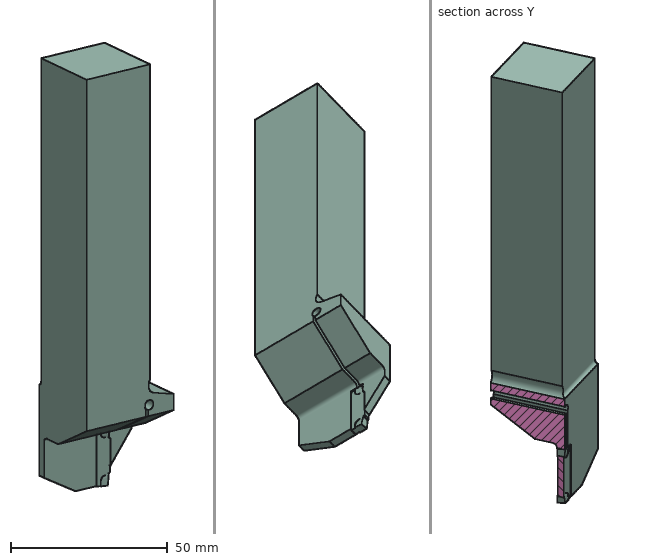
import cadquery as cq
import math


TOTAL_LENGTH = 150.0
SHANK_SIZE = TOTAL_LENGTH / 6
TOTAL_WIDTH = 26.1
BLADE_OFFSET = TOTAL_WIDTH - SHANK_SIZE
BLADE_THICKNESS = 2.8
BLADE_BOTTOM = 0.8
STEP_TANGENT_Z = 40.2
STEP_RADIUS = 1.5
SHOULDER_Z = 21.6
SHOULDER_X = 10.5
SHOULDER_RADIUS = 1.4
SLOPE_ANGLE = 30.0

HEAD_DEPTH = 34.4
NOSE_TOP_Z = 36.0
NOSE_TOP_ANGLE = 15.0
NOSE_BOTTOM_Z = 17.5
JAW_TIP_Z = 6.6
BLADE_CORNER_Y = 12.3
NECK_RADIUS = 3.0
NECK_TANGENT_Y = 26.5

SLOT_WIDTH = 0.9
SLOT_Y = 23.7
SLOT_HOLE_Y = 24.6
SLOT_HOLE_Z = 34.4
SLOT_HOLE_RADIUS = 1.6

INSERT_LENGTH = 20.1
INSERT_BACK_Y = 20.7
INSERT_FRONT_Y = 26.1
INSERT_LAND_Y = 25.6
INSERT_TIP_Y = 25.0
INSERT_END_RELIEF = 0.5
INSERT_LEAD = 0.5
LAND_Z = 3.9
FRONT_Z = 4.4
BODY_INSET = 0.3
END_SIDE_RELIEF = 0.2
END_RELIEF_Z = 2.7
END_HEIGHT = 3.6
END_BACK_Y = 22.4
END_CORNER_RADIUS = 1.8


def prism_along_x(outline):
    """Extrude a YZ outline across the full width of the tool."""
    return outline.extrude(TOTAL_WIDTH)


def make_side_profile():
    """Shank, step, shoulder and blade as an XZ outline, extruded over the head depth."""
    step_drop = math.sqrt(STEP_RADIUS**2 - (STEP_RADIUS - BLADE_OFFSET) ** 2)
    half_step = math.asin(step_drop / STEP_RADIUS) / 2
    step_center_x = BLADE_OFFSET - STEP_RADIUS
    slope_rise = (TOTAL_WIDTH - SHOULDER_X) * math.tan(math.radians(SLOPE_ANGLE))
    fillet_center_x = BLADE_THICKNESS + SHOULDER_RADIUS
    fillet_center_z = SHOULDER_Z - SHOULDER_RADIUS
    diagonal = SHOULDER_RADIUS * math.sqrt(0.5)
    outline = (
        cq.Workplane("XZ")
        .moveTo(0, BLADE_BOTTOM)
        .lineTo(BLADE_THICKNESS, BLADE_BOTTOM)
        .lineTo(BLADE_THICKNESS, fillet_center_z)
        .threePointArc(
            (fillet_center_x - diagonal, fillet_center_z + diagonal),
            (fillet_center_x, SHOULDER_Z),
        )
        .lineTo(SHOULDER_X, SHOULDER_Z)
        .lineTo(TOTAL_WIDTH, SHOULDER_Z + slope_rise)
        .lineTo(TOTAL_WIDTH, TOTAL_LENGTH)
        .lineTo(BLADE_OFFSET, TOTAL_LENGTH)
        .lineTo(BLADE_OFFSET, STEP_TANGENT_Z)
        .threePointArc(
            (
                step_center_x + STEP_RADIUS * math.cos(half_step),
                STEP_TANGENT_Z - STEP_RADIUS * math.sin(half_step),
            ),
            (0, STEP_TANGENT_Z - step_drop),
        )
        .close()
    )
    return outline.extrude(-HEAD_DEPTH)


def make_head_profile():
    """Shank, nose and blade corner as a YZ outline, with the rounded relief under the shank."""
    nose_angle = math.radians(NOSE_TOP_ANGLE)
    neck_tangent_z = NOSE_TOP_Z + (HEAD_DEPTH - NECK_TANGENT_Y) * math.tan(nose_angle)
    neck_center_y = NECK_TANGENT_Y + NECK_RADIUS * math.sin(nose_angle)
    neck_center_z = neck_tangent_z + NECK_RADIUS * math.cos(nose_angle)
    neck_exit_z = neck_center_z + math.sqrt(NECK_RADIUS**2 - (neck_center_y - SHANK_SIZE) ** 2)
    corner_rise = BLADE_CORNER_Y * math.tan(math.radians(SLOPE_ANGLE))
    outline = (
        cq.Workplane("YZ")
        .moveTo(0, BLADE_BOTTOM + corner_rise)
        .lineTo(BLADE_CORNER_Y, BLADE_BOTTOM)
        .lineTo(INSERT_BACK_Y, BLADE_BOTTOM)
        .lineTo(INSERT_BACK_Y, JAW_TIP_Z)
        .lineTo(INSERT_FRONT_Y, JAW_TIP_Z)
        .lineTo(HEAD_DEPTH, NOSE_BOTTOM_Z)
        .lineTo(HEAD_DEPTH, NOSE_TOP_Z)
        .lineTo(NECK_TANGENT_Y, neck_tangent_z)
        .threePointArc((neck_center_y - NECK_RADIUS, neck_center_z), (SHANK_SIZE, neck_exit_z))
        .lineTo(SHANK_SIZE, TOTAL_LENGTH)
        .lineTo(0, TOTAL_LENGTH)
        .close()
    )
    return prism_along_x(outline)


def make_clamping_slot():
    """Narrow slot from the insert seat up to a round hole, through the whole width."""
    slot_bottom = INSERT_LENGTH / 2
    slot_height = SLOT_HOLE_Z - slot_bottom
    slot = prism_along_x(
        cq.Workplane("YZ").center(SLOT_Y, slot_bottom + slot_height / 2).rect(SLOT_WIDTH, slot_height)
    )
    hole = prism_along_x(
        cq.Workplane("YZ").center(SLOT_HOLE_Y, SLOT_HOLE_Z).circle(SLOT_HOLE_RADIUS)
    )
    return slot.union(hole)


def make_insert_seat():
    """Pocket for the insert; its front wall runs straight past the unused rake face."""
    seat_top = INSERT_LENGTH
    outline = cq.Workplane("YZ").polyline([
        (INSERT_BACK_Y, 0),
        (INSERT_FRONT_Y, 0),
        (INSERT_FRONT_Y, seat_top - FRONT_Z),
        (INSERT_LAND_Y, seat_top - LAND_Z),
        (INSERT_LAND_Y, seat_top),
        (INSERT_TIP_Y, seat_top),
        (INSERT_BACK_Y, seat_top - INSERT_END_RELIEF),
    ]).close()
    return prism_along_x(outline)


def make_holder():
    holder = make_side_profile().intersect(make_head_profile())
    return holder.cut(make_insert_seat()).cut(make_clamping_slot())


def make_insert_blank():
    """Insert of full blade thickness, with slanting cutting edges at both ends."""
    top = INSERT_LENGTH
    face = prism_along_x(cq.Workplane("YZ").polyline([
        (INSERT_BACK_Y, INSERT_END_RELIEF),
        (INSERT_TIP_Y, 0),
        (INSERT_LAND_Y, LAND_Z),
        (INSERT_FRONT_Y, FRONT_Z),
        (INSERT_FRONT_Y, top - FRONT_Z),
        (INSERT_LAND_Y, top - LAND_Z),
        (INSERT_TIP_Y, top),
        (INSERT_BACK_Y, top - INSERT_END_RELIEF),
    ]).close())
    lead = cq.Workplane("XZ").polyline([
        (0, INSERT_LEAD),
        (BLADE_THICKNESS, 0),
        (BLADE_THICKNESS, top - INSERT_LEAD),
        (0, top),
    ]).close().extrude(-HEAD_DEPTH)
    return face.intersect(lead)


def make_cutting_end_envelope():
    """Space of the lower cutting end: rounded at its back corner and narrowing behind the edge."""
    side = cq.Workplane("XZ").polyline([
        (0, 0),
        (BLADE_THICKNESS, 0),
        (BLADE_THICKNESS - END_SIDE_RELIEF, END_RELIEF_Z),
        (BLADE_THICKNESS - BODY_INSET, END_HEIGHT),
        (BODY_INSET, END_HEIGHT),
        (END_SIDE_RELIEF, END_RELIEF_Z),
    ]).close().extrude(-HEAD_DEPTH)
    corner_offset = END_CORNER_RADIUS * (1 - math.sqrt(0.5))
    face = prism_along_x(
        cq.Workplane("YZ")
        .moveTo(END_BACK_Y, 0)
        .lineTo(END_BACK_Y, END_HEIGHT - END_CORNER_RADIUS)
        .threePointArc(
            (END_BACK_Y + corner_offset, END_HEIGHT - corner_offset),
            (END_BACK_Y + END_CORNER_RADIUS, END_HEIGHT),
        )
        .lineTo(INSERT_FRONT_Y, END_HEIGHT)
        .lineTo(INSERT_FRONT_Y, 0)
        .close()
    )
    return side.intersect(face)


def make_insert():
    """Narrow body with a wider cutting end at each end, the two a half turn apart about Y."""
    envelope = cq.Workplane("XY").box(
        BLADE_THICKNESS - 2 * BODY_INSET, HEAD_DEPTH, INSERT_LENGTH, centered=False
    ).translate((BODY_INSET, 0, 0))
    axis_start = (BLADE_THICKNESS / 2, 0, INSERT_LENGTH / 2)
    axis_end = (BLADE_THICKNESS / 2, 1, INSERT_LENGTH / 2)
    cutting_end = make_cutting_end_envelope()
    for turn in (0, 180):
        envelope = envelope.union(cutting_end.rotate(axis_start, axis_end, turn))
    return make_insert_blank().intersect(envelope)


holder = make_holder()
insert = make_insert()
result = cq.Compound.makeCompound([holder.solids().val(), insert.solids().val()])